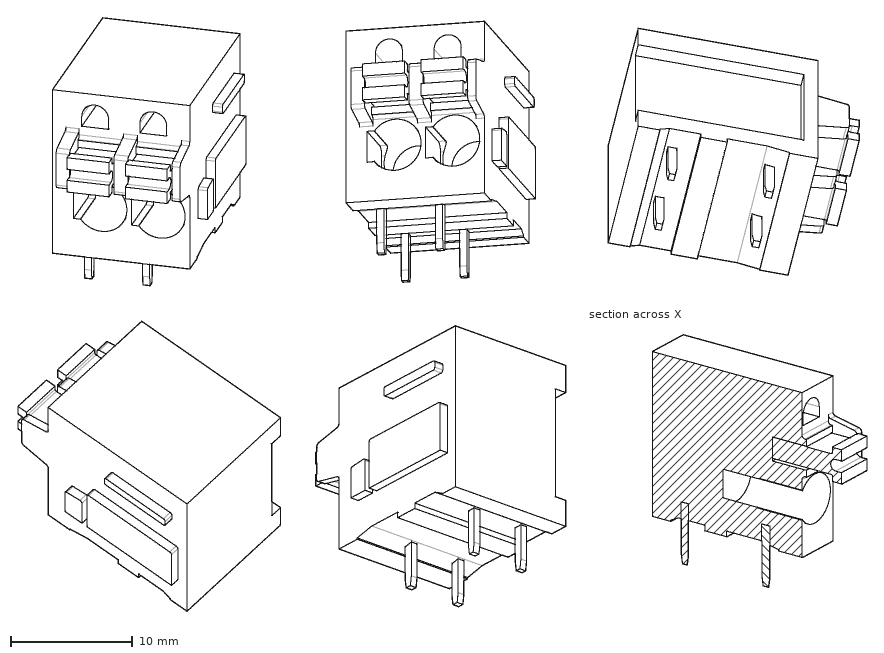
import cadquery as cq
import math


HOUSING_WIDTH = 11.8
HOUSING_DEPTH = 15.2
HOUSING_HEIGHT = 14.8

POLE_PITCH = 5.0
FIRST_POLE_X = 4.2
POLE_XS = [FIRST_POLE_X, FIRST_POLE_X + POLE_PITCH]

SIDE_RECESS_DEPTH = 1.1
SIDE_RECESS_FRONT = 1.2
SIDE_RECESS_BOTTOM = 2.4
SIDE_RECESS_TOP = 12.3

RELIEF_HEIGHT = 0.5
RELIEF_FRONT = 2.4
RELIEF_STEP = 0.12
RELIEF_FLAT_FRONT = 4.3
FOOT_FRONT = 7.67
FOOT_BACK = 9.9
RELIEF_FLAT_BACK = 12.55
RELIEF_BACK = 13.35

TEST_WIDTH = 2.3
TEST_OFFSET = -0.53
TEST_BOTTOM = 11.8
TEST_TOP = 13.85
TEST_DEPTH = 8.0

WIRE_RADIUS = 2.2
WIRE_Z = 4.7
WIRE_DEPTH = 8.0
CONTACT_SLOT_HEIGHT = 2.65
CONTACT_SLOT_DEPTH = 5.0
CONTACT_SLOT_RADIUS = 0.7

BAY_WIDTH = 3.8
GUARD_LEFT = 1.15
GUARD_REACH = 2.9
GUARD_Z = 9.0
GUARD_ROOT_HEIGHT = 4.6
GUARD_SLOPE = math.radians(11.1)
GUARD_TIP_RADIUS = 0.35
ROOT_RADIUS = 0.3

PAD_REACH = 0.43
PAD_HEIGHT = 3.4

LEVER_WIDTH = 3.6
LEVER_TIP = 4.0
LEVER_Z = 9.1
HEAD_HEIGHT = 3.1
HEAD_LENGTH = 0.95
STEM_HEIGHT = 1.9
STEM_DEPTH = 3.0
NECK_RADIUS = 0.15
NOTCH_RADIUS = 0.5
NOTCH_BOTTOM = 2.9
LEVER_SLOT_BOTTOM = 7.95
LEVER_SLOT_TOP = LEVER_Z + STEM_HEIGHT / 2

LEDGE_REACH = 0.8
LEDGE_RADIUS = 0.2
LEDGE_BOTTOM = 3.5
FRONT_LEDGE = (2.55, 4.4)
FRONT_LEDGE_TOPS = (6.28, 6.47)
BACK_LEDGE = (4.93, 14.2)
BACK_LEDGE_TOPS = (7.95, 7.95)
RAIL_REACH = 0.85
RAIL = (6.9, 13.55)
RAIL_BOTTOM = 11.15
RAIL_TOP = 12.0

PIN_THICKNESS = 0.62
PIN_LEFT = -2.4
PIN_LENGTH = 3.5
PIN_TAPER_LENGTH = 0.85
PIN_TAPER = 0.13
PIN_TOP = 2.0
PIN_ROWS = [(3.7, 0.82), (11.92, 0.75)]


def box(x_range, y_range, z_range):
    """Box between the given limits."""
    size = [high - low for low, high in (x_range, y_range, z_range)]
    return cq.Workplane("XY").box(*size, centered=False).translate((x_range[0], y_range[0], z_range[0]))


def side_profile(x):
    """Y-Z sketch plane at the given X, facing +X."""
    return cq.Workplane("YZ").workplane(offset=x)


def front_profile():
    """X-Z sketch plane on the front face, facing away from the housing."""
    return cq.Workplane("XZ")


def housing_block():
    side_recess = box(
        (0, SIDE_RECESS_DEPTH), (SIDE_RECESS_FRONT, HOUSING_DEPTH), (SIDE_RECESS_BOTTOM, SIDE_RECESS_TOP)
    )
    outline = [
        (0, 0),
        (RELIEF_FRONT, 0),
        (RELIEF_FRONT, RELIEF_STEP),
        (RELIEF_FLAT_FRONT, RELIEF_HEIGHT),
        (FOOT_FRONT, RELIEF_HEIGHT),
        (FOOT_FRONT, 0),
        (FOOT_BACK, 0),
        (FOOT_BACK, RELIEF_HEIGHT),
        (RELIEF_FLAT_BACK, RELIEF_HEIGHT),
        (RELIEF_BACK, RELIEF_STEP),
        (RELIEF_BACK, 0),
        (HOUSING_DEPTH, 0),
        (HOUSING_DEPTH, HOUSING_HEIGHT),
        (0, HOUSING_HEIGHT),
    ]
    return side_profile(0).polyline(outline).close().extrude(HOUSING_WIDTH).cut(side_recess)


def root_fillet(x_range, root_z, slope, direction):
    """Concave fillet where a surface rising forward from the front face meets that face.

    direction is +1 above the surface and -1 below it; slope is how much the surface leans
    toward the middle as it leaves the face.
    """
    bisector = (math.pi / 2 + slope) / 2
    tangent = ROOT_RADIUS / math.tan(bisector)
    to_centre = ROOT_RADIUS / math.sin(bisector) - ROOT_RADIUS
    on_face = (0, root_z + direction * tangent)
    middle = (-to_centre * math.sin(bisector), root_z + direction * to_centre * math.cos(bisector))
    on_surface = (-tangent * math.cos(slope), root_z - direction * tangent * math.sin(slope))
    return (
        side_profile(x_range[0])
        .moveTo(0, root_z)
        .lineTo(*on_face)
        .threePointArc(middle, on_surface)
        .close()
        .extrude(x_range[1] - x_range[0])
    )


def front_rib(x_range, reach, root_height, slope, tip_radius):
    """Rib across the front face, filleted into it above and below."""
    root = root_height / 2
    tip = root - reach * math.tan(slope)
    rib = (
        side_profile(x_range[0])
        .polyline([(0, GUARD_Z - root), (0, GUARD_Z + root), (-reach, GUARD_Z + tip), (-reach, GUARD_Z - tip)])
        .close()
        .extrude(x_range[1] - x_range[0])
    )
    if tip_radius:
        rib = rib.faces("<Y").edges("|X").fillet(tip_radius)
    for direction in (1, -1):
        rib = rib.union(root_fillet(x_range, GUARD_Z + direction * root, slope, direction))
    return rib


def guard_ranges():
    """X limits of the guard walls, from left to right."""
    bays = [(x - BAY_WIDTH / 2, x + BAY_WIDTH / 2) for x in POLE_XS]
    starts = [GUARD_LEFT] + [right for _, right in bays]
    ends = [left for left, _ in bays] + [HOUSING_WIDTH]
    return list(zip(starts, ends))


def front_guards():
    guards = front_rib((GUARD_LEFT, HOUSING_WIDTH), PAD_REACH, PAD_HEIGHT, 0, 0)
    for x_range in guard_ranges():
        guards = guards.union(front_rib(x_range, GUARD_REACH, GUARD_ROOT_HEIGHT, GUARD_SLOPE, GUARD_TIP_RADIUS))
    return guards


def test_opening(pole_x):
    x = pole_x + TEST_OFFSET
    half = TEST_WIDTH / 2
    return (
        front_profile()
        .moveTo(x - half, TEST_BOTTOM)
        .lineTo(x + half, TEST_BOTTOM)
        .lineTo(x + half, TEST_TOP - half)
        .threePointArc((x, TEST_TOP), (x - half, TEST_TOP - half))
        .close()
        .extrude(-TEST_DEPTH)
    )


def wire_entry(pole_x):
    bore = front_profile().center(pole_x, WIRE_Z).circle(WIRE_RADIUS).extrude(-WIRE_DEPTH)
    slot_left = pole_x + PIN_LEFT
    slot = box(
        (slot_left, slot_left + PIN_THICKNESS),
        (0, CONTACT_SLOT_DEPTH),
        (WIRE_Z - CONTACT_SLOT_HEIGHT / 2, WIRE_Z + CONTACT_SLOT_HEIGHT / 2),
    )
    slot = slot.faces(">Y").edges("|X").fillet(CONTACT_SLOT_RADIUS)
    return bore.union(slot)


def lever_slot(pole_x):
    return box(
        (pole_x - BAY_WIDTH / 2, pole_x + BAY_WIDTH / 2),
        (-PAD_REACH, STEM_DEPTH),
        (LEVER_SLOT_BOTTOM, LEVER_SLOT_TOP),
    )


def ledge(y_range, tops):
    """Coupling ledge with rounded upper edges and the given heights at its front and back."""
    front, back = y_range
    front_top, back_top = tops
    outline = [(front, LEDGE_BOTTOM), (front, front_top), (back, back_top), (back, LEDGE_BOTTOM)]
    block = side_profile(HOUSING_WIDTH).polyline(outline).close().extrude(LEDGE_REACH)
    return block.faces(">Z").edges("|X").fillet(LEDGE_RADIUS)


def coupling_rail():
    rail = box((HOUSING_WIDTH, HOUSING_WIDTH + RAIL_REACH), RAIL, (RAIL_BOTTOM, RAIL_TOP))
    return rail.edges("|X").fillet(LEDGE_RADIUS)


def coupling_features():
    return [ledge(FRONT_LEDGE, FRONT_LEDGE_TOPS), ledge(BACK_LEDGE, BACK_LEDGE_TOPS), coupling_rail()]


def make_lever(pole_x):
    """Forked lever: a wide notched head on a thinner stem that sits in its slot."""
    left = pole_x - LEVER_WIDTH / 2
    right = pole_x + LEVER_WIDTH / 2
    head_back = HEAD_LENGTH - LEVER_TIP
    stem = box((left, right), (head_back, STEM_DEPTH), (LEVER_Z - STEM_HEIGHT / 2, LEVER_Z + STEM_HEIGHT / 2))
    head = box((left, right), (-LEVER_TIP, head_back), (LEVER_Z - HEAD_HEIGHT / 2, LEVER_Z + HEAD_HEIGHT / 2))
    neck_edges = cq.selectors.BoxSelector(
        (left, head_back - NECK_RADIUS, LEVER_Z - STEM_HEIGHT / 2 - NECK_RADIUS),
        (right, head_back + NECK_RADIUS, LEVER_Z + STEM_HEIGHT / 2 + NECK_RADIUS),
    )
    lever = stem.union(head).edges("|X").edges(neck_edges).fillet(NECK_RADIUS)
    notch_centre = -NOTCH_BOTTOM - NOTCH_RADIUS
    notch = (
        side_profile(left)
        .moveTo(-LEVER_TIP, LEVER_Z - NOTCH_RADIUS)
        .lineTo(notch_centre, LEVER_Z - NOTCH_RADIUS)
        .threePointArc((-NOTCH_BOTTOM, LEVER_Z), (notch_centre, LEVER_Z + NOTCH_RADIUS))
        .lineTo(-LEVER_TIP, LEVER_Z + NOTCH_RADIUS)
        .close()
        .extrude(LEVER_WIDTH)
    )
    return lever.cut(notch)


def make_pin(pole_x, pin_y, pin_width):
    """Flat pin that narrows toward its tip."""
    half = pin_width / 2
    half_tip = half - PIN_TAPER
    taper_z = PIN_TAPER_LENGTH - PIN_LENGTH
    outline = [
        (pin_y - half, PIN_TOP),
        (pin_y - half, taper_z),
        (pin_y - half_tip, -PIN_LENGTH),
        (pin_y + half_tip, -PIN_LENGTH),
        (pin_y + half, taper_z),
        (pin_y + half, PIN_TOP),
    ]
    return side_profile(pole_x + PIN_LEFT).polyline(outline).close().extrude(PIN_THICKNESS)


def make_housing(pins):
    housing = housing_block().union(front_guards())
    for feature in coupling_features():
        housing = housing.union(feature)
    for pole_x in POLE_XS:
        for opening in (test_opening(pole_x), wire_entry(pole_x), lever_slot(pole_x)):
            housing = housing.cut(opening)
    for pin in pins:
        housing = housing.cut(pin)
    return housing


levers = [make_lever(pole_x) for pole_x in POLE_XS]
pins = [make_pin(pole_x, pin_y, pin_width) for pole_x in POLE_XS for pin_y, pin_width in PIN_ROWS]
housing = make_housing(pins)

result = cq.Compound.makeCompound([body.val() for body in [housing, *levers, *pins]])